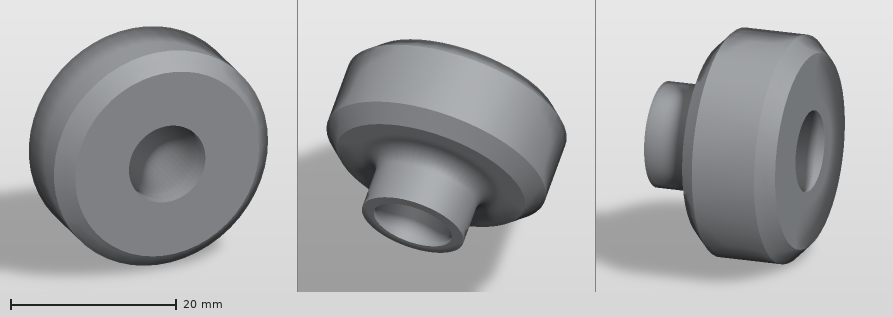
import cadquery as cq

total_length = 19.0
disc_diameter = 28.0
disc_width = 12.0
neck_diameter = 13.0
bore_diameter = 10.0
edge_size = 2.0

neck_length = total_length - disc_width
disc_radius = disc_diameter / 2
neck_radius = neck_diameter / 2

neck = cq.Workplane("YZ").circle(neck_radius).extrude(neck_length)

disc = (
    cq.Workplane("YZ", origin=(neck_length, 0, 0))
    .circle(disc_radius)
    .extrude(disc_width)
    .edges()
    .chamfer(edge_size)
)

root_corner = cq.selectors.RadiusNthSelector(0)
body = neck.union(disc)
body = body.faces("<X[1]").edges(root_corner).fillet(edge_size)

bore = cq.Workplane("YZ").circle(bore_diameter / 2).extrude(total_length)
result = body.cut(bore)